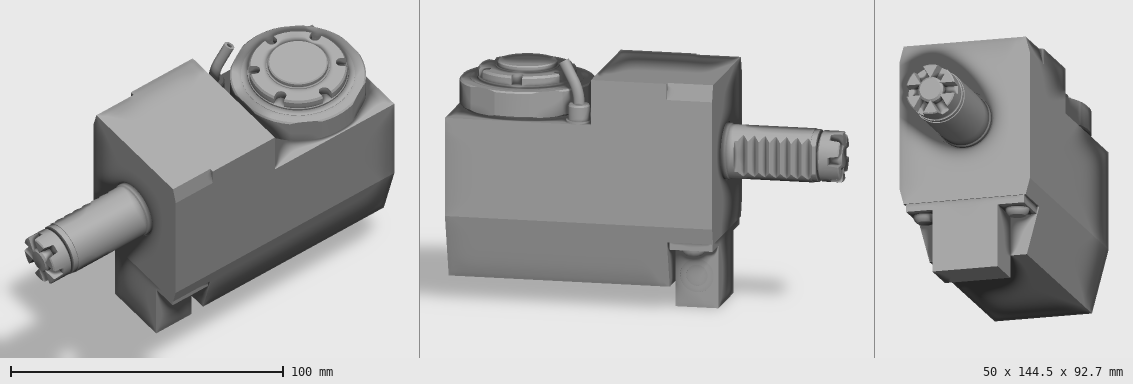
import cadquery as cq
import math


REPEATS = 6
REPEAT_ANGLE = 360 / REPEATS

WIDTH = 50.0
BODY_BACK = 100.4
HALF_HEIGHT = 30.0
TAPER_START = 24.0
TAPER_SLOPE = math.tan(math.radians(15))
PLATE_BACK = 17.0
KEEL_FRONT = 17.3
KEEL_BOTTOM = -47.8
STEP_Y = 45.5
DECK_Z = 13.0

FOOT_FRONT = 0.5
FOOT_BACK = 16.6
FOOT_WIDTH = 25.0
FOOT_BOTTOM = -56.5
FLANGE_WIDTH = 45.1
FLANGE_BOTTOM = -33.0
FOOT_MID_Y = (FOOT_FRONT + FOOT_BACK) / 2
FOOT_SCREW_X = 17.6
FOOT_SCREW_RADIUS = 4.5
FOOT_SCREW_TIP_RADIUS = 2.9
FOOT_SCREW_HEIGHT = 2.6
PORT_Z = -44.5
PORT_DIAMETERS = (12.5, 8.0)
PORT_STEP = 0.1

SHANK_RADIUS = 10.0
SHANK_COLLAR_RADIUS = 10.4
SHANK_COLLAR_LENGTH = 1.9
COLLAR_CHAMFER = 0.5
SHANK_SEAT_RADIUS = 22.0 / 2
SHANK_SEAT_DEPTH = 0.3
SHANK_STRAIGHT_END = 33.1
SHANK_TIP_RADIUS = 9.7
SHANK_END = 35.1
NECK_RADIUS = 6.6
RACK_FLAT_X = 8.1
RACK_FLAT_START = 4.6
TOOTH_DEPTH = 1.9
TOOTH_PITCH = 4.0
TOOTH_COUNT = 7
FIRST_ROOT_Y = 7.7

NUT_START = 36.0
NUT_END = 44.0
NUT_RADIUS = 19.0 / 2
NUT_CHAMFER = 0.5
NUT_SLOT_FLOOR_WIDTH = 3.0
NUT_SLOT_MOUTH_WIDTH = 4.2
NUT_SLOT_DEPTH = 4.0
CORE_RADIUS = 9.5 / 2
CORE_TIP_RADIUS = 8.0 / 2
NOSE_END = 144.5 - BODY_BACK

HEAD_Y = 75.0
SEAT_RADIUS = 45.7 / 2
RING_BOTTOM = 14.2
RING_TOP = 24.0
RING_RADIUS = 25.0
RING_FLAT_DISTANCE = 24.3
RING_CHAMFER = 0.6
LIP_RADIUS = 21.0
LIP_TOP = 24.1
RIM_RADIUS = 18.5
RIM_TOP = 24.9
CAP_RADIUS = 18.0
CAP_TOP = 28.3
CAP_CHAMFER_WIDTH = 0.6
CAP_CHAMFER_HEIGHT = 0.9
WRENCH_NOTCH_DIAMETER = 4.0
WRENCH_NOTCH_CENTER = 16.0
SPINDLE_COLLAR_RADIUS = 11.7
SPINDLE_COLLAR_TOP = 28.6
SPINDLE_RADIUS = 22.0 / 2
SPINDLE_TOP = 30.5
SPINDLE_CHAMFER = 0.5

GLAND_X = -19.7
GLAND_Y = 51.2
GLAND_RADIUS = 8.0 / 2
GLAND_TOP = 19.7
GLAND_CHAMFER = 0.7
CLAMP_TOP = 13.7
CLAMP_RADIUS = 4.9
CLAMP_LOBE_X = -12.5
CLAMP_LOBE_Y = 49.7
CLAMP_LOBE_RADIUS = 2.9
CLAMP_SCREW_X = -14.0
CLAMP_SCREW_RADIUS = 2.6
CLAMP_SCREW_TIP_RADIUS = 1.6
CLAMP_SCREW_HEIGHT = 1.7
CLAMP_SOCKET_DIAMETER = 1.7
CLAMP_SOCKET_DEPTH = 0.9
TUBE_DIAMETER = 4.0
TUBE_BORE = 2.0
TUBE_BORE_DEPTH = 1.5
TUBE_BEND_RADIUS = 17.2
TUBE_LEAN = math.radians(30)
TUBE_TURN = 13
TUBE_END_LENGTH = 8.0

DOME_BULGE_ACROSS = 0.7
DOME_BULGE_UP = 0.6

OVERLAP = 0.7


def box(x_size, y_range, z_range):
    """Box centred on X = 0 between the given Y and Z limits."""
    y_size = y_range[1] - y_range[0]
    z_size = z_range[1] - z_range[0]
    solid = cq.Workplane("XY").box(x_size, y_size, z_size, centered=(True, False, False))
    return solid.translate((0, y_range[0], z_range[0]))


def disc(radius, bottom, top, x=0.0, y=0.0):
    """Upright cylinder between two heights."""
    return cq.Workplane("XY", origin=(x, y, bottom)).circle(radius).extrude(top - bottom)


def rod(radius, start, end):
    """Cylinder along the shank axis, with distances measured outward from the mounting face."""
    return cq.Workplane("XZ", origin=(0, -start, 0)).circle(radius).extrude(end - start)


def button_head(radius, tip_radius, height):
    """Screw head with a domed side, rising from Z = 0 with its root sunk below."""
    bulge = (tip_radius + (radius - tip_radius) * DOME_BULGE_ACROSS, height * DOME_BULGE_UP)
    return (
        cq.Workplane("XZ")
        .moveTo(0, -OVERLAP)
        .lineTo(radius, -OVERLAP)
        .lineTo(radius, 0)
        .threePointArc(bulge, (tip_radius, height))
        .lineTo(0, height)
        .close()
        .revolve(360, (0, 0, 0), (0, 1, 0))
    )


def half_width_at(height):
    """Half width of the housing on its 15 degree tapered part."""
    return WIDTH / 2 - (abs(height) - TAPER_START) * TAPER_SLOPE


def prism(right_side, start, end):
    """Prism along Y whose X-Z outline mirrors the given right-hand points."""
    left_side = [(-x, z) for x, z in reversed(right_side)]
    outline = cq.Workplane("XZ", origin=(0, end, 0)).polyline(right_side + left_side)
    return outline.close().extrude(end - start)


def make_housing():
    half = WIDTH / 2
    edge = half_width_at(HALF_HEIGHT)
    plate_side = [(edge, HALF_HEIGHT), (half, TAPER_START), (half, -TAPER_START), (edge, -HALF_HEIGHT)]
    body_side = [(half, HALF_HEIGHT), (half, -TAPER_START), (edge, -HALF_HEIGHT)]
    keel_side = [(edge, -HALF_HEIGHT), (half_width_at(KEEL_BOTTOM), KEEL_BOTTOM)]

    plate = prism(plate_side, 0, PLATE_BACK)
    body = prism(body_side, PLATE_BACK, BODY_BACK)
    keel = prism(keel_side, KEEL_FRONT, BODY_BACK)
    deck_cut = box(WIDTH, (STEP_Y, BODY_BACK), (DECK_Z, HALF_HEIGHT))
    shank_seat = rod(SHANK_SEAT_RADIUS, -SHANK_SEAT_DEPTH, 0)
    return plate.union(body).union(keel).cut(deck_cut).cut(shank_seat)


def make_foot():
    depth = (FOOT_FRONT, FOOT_BACK)
    foot = box(FOOT_WIDTH, depth, (FOOT_BOTTOM, -HALF_HEIGHT))
    foot = foot.union(box(FLANGE_WIDTH, depth, (FLANGE_BOTTOM, -HALF_HEIGHT)))
    head = button_head(FOOT_SCREW_RADIUS, FOOT_SCREW_TIP_RADIUS, FOOT_SCREW_HEIGHT)
    head = head.rotate((0, 0, 0), (1, 0, 0), 180)
    for x in (-FOOT_SCREW_X, FOOT_SCREW_X):
        foot = foot.union(head.translate((x, FOOT_MID_Y, FLANGE_BOTTOM)))

    for step, diameter in enumerate(PORT_DIAMETERS, start=1):
        port = cq.Workplane("YZ", origin=(-FOOT_WIDTH / 2, FOOT_MID_Y, PORT_Z))
        foot = foot.cut(port.circle(diameter / 2).extrude(step * PORT_STEP))
    return foot


def make_shank():
    collar = rod(SHANK_COLLAR_RADIUS, -SHANK_SEAT_DEPTH, SHANK_COLLAR_LENGTH)
    collar = collar.faces("<Y").chamfer(COLLAR_CHAMFER)
    shank = rod(SHANK_RADIUS, -OVERLAP, SHANK_STRAIGHT_END)
    shank = shank.union(rod(SHANK_TIP_RADIUS, SHANK_STRAIGHT_END, SHANK_END))

    flat = box(SHANK_RADIUS, (-SHANK_END, -RACK_FLAT_START), (-SHANK_RADIUS, SHANK_RADIUS))
    shank = shank.cut(flat.translate((-RACK_FLAT_X - SHANK_RADIUS / 2, 0, 0)))
    root_x = -RACK_FLAT_X + TOOTH_DEPTH
    for tooth in range(TOOTH_COUNT):
        root_y = -FIRST_ROOT_Y - tooth * TOOTH_PITCH
        groove = (
            cq.Workplane("XY", origin=(0, 0, -SHANK_RADIUS))
            .moveTo(root_x, root_y)
            .lineTo(-RACK_FLAT_X, root_y + TOOTH_DEPTH)
            .lineTo(-RACK_FLAT_X, root_y - TOOTH_DEPTH)
            .close()
            .extrude(2 * SHANK_RADIUS)
        )
        shank = shank.cut(groove)
    return shank.union(collar)


def make_collet_nut():
    nut = rod(NUT_RADIUS, NUT_START, NUT_END).faces("<Y or >Y").chamfer(NUT_CHAMFER)
    floor_y = NUT_SLOT_DEPTH - NUT_END
    half_floor = NUT_SLOT_FLOOR_WIDTH / 2
    half_mouth = NUT_SLOT_MOUTH_WIDTH / 2
    slot_corners = [
        (-half_floor, floor_y),
        (half_floor, floor_y),
        (half_mouth, -NUT_END),
        (-half_mouth, -NUT_END),
    ]
    slot = cq.Workplane("XY").polyline(slot_corners).close().extrude(NUT_RADIUS)
    for index in range(REPEATS):
        angle = 90 + index * REPEAT_ANGLE
        nut = nut.cut(slot.rotate((0, 0, 0), (0, 1, 0), angle))
    neck = rod(NECK_RADIUS, SHANK_END - OVERLAP, NUT_START + OVERLAP)
    core = rod(CORE_RADIUS, NUT_START, NOSE_END)
    core = core.faces("<Y").chamfer(CORE_RADIUS - CORE_TIP_RADIUS)
    return nut.union(neck).union(core)


def make_clamping_ring():
    """Ring with six wrench flats, two of them facing -Y and +Y, and chamfered arcs between."""
    ring = disc(RING_RADIUS, RING_BOTTOM, RING_TOP)
    ring = ring.faces("<Z or >Z").chamfer(RING_CHAMFER)
    across_flats = 2 * RING_FLAT_DISTANCE
    hexagon = (
        cq.Workplane("XY", origin=(0, 0, RING_BOTTOM))
        .polygon(REPEATS, across_flats, circumscribed=True)
        .extrude(RING_TOP - RING_BOTTOM)
    )
    return ring.intersect(hexagon.rotate((0, 0, 0), (0, 0, 1), REPEAT_ANGLE / 2))


def make_spindle_head():
    cap = disc(CAP_RADIUS, RIM_TOP, CAP_TOP)
    cap = cap.faces(">Z").chamfer(CAP_CHAMFER_HEIGHT, CAP_CHAMFER_WIDTH)
    notch = (
        disc(WRENCH_NOTCH_DIAMETER / 2, RIM_TOP, CAP_TOP)
        .union(box(WRENCH_NOTCH_DIAMETER, (0, WRENCH_NOTCH_DIAMETER), (RIM_TOP, CAP_TOP)))
        .translate((0, WRENCH_NOTCH_CENTER, 0))
    )
    for index in range(REPEATS):
        cap = cap.cut(notch.rotate((0, 0, 0), (0, 0, 1), REPEAT_ANGLE / 2 + index * REPEAT_ANGLE))

    spindle = disc(SPINDLE_RADIUS, CAP_TOP - OVERLAP, SPINDLE_TOP).faces(">Z").chamfer(SPINDLE_CHAMFER)
    head = disc(SEAT_RADIUS, DECK_Z - OVERLAP, RING_BOTTOM)
    head = head.union(make_clamping_ring())
    head = head.union(disc(LIP_RADIUS, RING_TOP - OVERLAP, LIP_TOP))
    head = head.union(disc(RIM_RADIUS, RING_TOP, RIM_TOP))
    head = head.union(cap)
    head = head.union(disc(SPINDLE_COLLAR_RADIUS, CAP_TOP - OVERLAP, SPINDLE_COLLAR_TOP))
    return head.union(spindle).translate((0, HEAD_Y, 0))


def make_nozzle_tube():
    """Bent tube rising from the origin, leaning toward +Y, bored at its free end."""
    half_lean = TUBE_LEAN / 2
    bend_middle = (
        TUBE_BEND_RADIUS * (1 - math.cos(half_lean)),
        TUBE_BEND_RADIUS * math.sin(half_lean),
    )
    bend_end = (
        TUBE_BEND_RADIUS * (1 - math.cos(TUBE_LEAN)),
        TUBE_BEND_RADIUS * math.sin(TUBE_LEAN),
    )
    direction = (math.sin(TUBE_LEAN), math.cos(TUBE_LEAN))
    tip = tuple(p + TUBE_END_LENGTH * d for p, d in zip(bend_end, direction))
    path = (
        cq.Workplane("YZ")
        .moveTo(0, -OVERLAP)
        .lineTo(0, 0)
        .threePointArc(bend_middle, bend_end)
        .lineTo(*tip)
    )
    tube = cq.Workplane("XY", origin=(0, 0, -OVERLAP)).circle(TUBE_DIAMETER / 2).sweep(path)
    bore_plane = cq.Plane(origin=(0, *tip), xDir=(1, 0, 0), normal=(0, *direction))
    return tube.cut(cq.Workplane(bore_plane).circle(TUBE_BORE / 2).extrude(-TUBE_BORE_DEPTH))


def make_coolant_nozzle():
    gland = disc(GLAND_RADIUS, DECK_Z - OVERLAP, GLAND_TOP, GLAND_X, GLAND_Y)
    gland = gland.faces(">Z").chamfer(GLAND_CHAMFER, GLAND_CHAMFER / 2)
    tube = make_nozzle_tube().rotate((0, 0, 0), (0, 0, 1), -TUBE_TURN)
    tube = tube.translate((GLAND_X, GLAND_Y, GLAND_TOP))

    lobe_length = CLAMP_LOBE_X - GLAND_X
    arm = (
        cq.Workplane("XY", origin=(GLAND_X + lobe_length / 2, CLAMP_LOBE_Y, DECK_Z - OVERLAP))
        .rect(lobe_length, 2 * CLAMP_LOBE_RADIUS)
        .extrude(CLAMP_TOP - DECK_Z + OVERLAP)
    )
    clamp = disc(CLAMP_RADIUS, DECK_Z - OVERLAP, CLAMP_TOP, GLAND_X, GLAND_Y).union(arm)
    clamp = clamp.union(disc(CLAMP_LOBE_RADIUS, DECK_Z - OVERLAP, CLAMP_TOP, CLAMP_LOBE_X, CLAMP_LOBE_Y))

    screw = button_head(CLAMP_SCREW_RADIUS, CLAMP_SCREW_TIP_RADIUS, CLAMP_SCREW_HEIGHT)
    socket_floor = CLAMP_SCREW_HEIGHT - CLAMP_SOCKET_DEPTH
    screw = screw.cut(disc(CLAMP_SOCKET_DIAMETER / 2, socket_floor, CLAMP_SCREW_HEIGHT))
    screw = screw.translate((CLAMP_SCREW_X, CLAMP_LOBE_Y, CLAMP_TOP))
    return clamp.union(screw).union(gland).union(tube)


result = (
    make_housing()
    .union(make_foot())
    .union(make_shank())
    .union(make_collet_nut())
    .union(make_spindle_head())
    .union(make_coolant_nozzle())
)